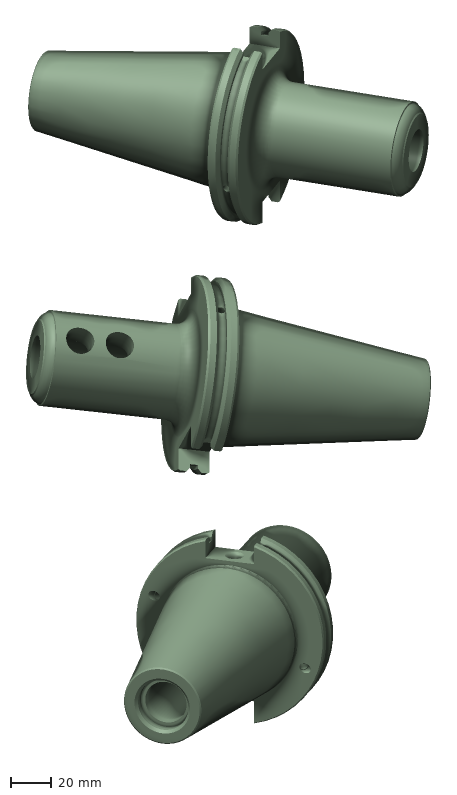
import cadquery as cq
import math

OVERALL_LENGTH = 196.9
GAUGE_LINE = 101.6
FLANGE_FRONT = 104.78
FLANGE_WIDTH = 15.88
FLANGE_REAR = FLANGE_FRONT + FLANGE_WIDTH

TAPER_RATIO = 7 / 24
GAUGE_DIAMETER = 69.85
TAPER_END_CHAMFER = 0.6

NECK_DIAMETER = 69.25
NECK_CHAMFER_LENGTH = 1.2
NECK_FILLET = 0.9

FLANGE_DIAMETER = 98.06
FLANGE_CHAMFER_LENGTH = 1.0
FLANGE_CHAMFER_DEPTH = 0.6
GROOVE_FLOOR_DIAMETER = 90.3
GROOVE_CENTRE = FLANGE_FRONT + FLANGE_WIDTH / 2
GROOVE_FLOOR_WIDTH = 4.1
GROOVE_WALL_FRONT = GROOVE_CENTRE - GROOVE_FLOOR_WIDTH / 2
GROOVE_WALL_REAR = GROOVE_CENTRE + GROOVE_FLOOR_WIDTH / 2
GROOVE_BEVEL_DEPTH = 2.0
GROOVE_BEVEL_LENGTH = 1.6

NOSE_DIAMETER = 47.75
NOSE_ROOT_FILLET = 7.6
NOSE_SHOULDER = 192.0
NOSE_SHOULDER_STEP = 0.8
NOSE_STEP_LENGTH = 0.2
NOSE_CROWN_START = (NOSE_SHOULDER + NOSE_STEP_LENGTH, NOSE_DIAMETER / 2 - NOSE_SHOULDER_STEP)
NOSE_END_CHAMFER_LENGTH = 0.5
NOSE_END_CHAMFER_DEPTH = 0.6
NOSE_END_FACE_RADIUS = 18.5
NOSE_CROWN_END = (
    OVERALL_LENGTH - NOSE_END_CHAMFER_LENGTH,
    NOSE_END_FACE_RADIUS + NOSE_END_CHAMFER_DEPTH,
)
NOSE_CROWN_RADIUS = 6.0

BORE_DIAMETER = 21.5
COUNTERBORE_DIAMETER = 26.2
COUNTERBORE_DEPTH = 5.6
COUNTERBORE_CHAMFER = 1.4

SLOT_WIDTH = 25.4
UPPER_SLOT_FLOOR = 37.7
LOWER_SLOT_FLOOR = 35.3
DIMPLE_DIAMETER = 9.53
DIMPLE_ANGLE = 118

SCREW_HOLE_DIAMETER = 14.35
SCREW_HOLE_STATIONS = (159.6, 179.8)

COOLANT_ANGLE = 20
COOLANT_ENTRY_RADIUS = 41.9
COOLANT_SLOPE = 35
COOLANT_ENTRY_DIAMETER = 5.0
COOLANT_ENTRY_DEPTH = 2.3
COOLANT_DIAMETER = 4.2


def make_body():
    """Revolve the outer profile about the X axis."""
    gauge_radius = GAUGE_DIAMETER / 2
    small_radius = gauge_radius - GAUGE_LINE * TAPER_RATIO / 2
    neck_radius = NECK_DIAMETER / 2
    flange_radius = FLANGE_DIAMETER / 2
    flange_edge_radius = flange_radius - FLANGE_CHAMFER_DEPTH
    groove_radius = GROOVE_FLOOR_DIAMETER / 2
    bevel_radius = flange_radius - GROOVE_BEVEL_DEPTH
    nose_radius = NOSE_DIAMETER / 2
    fillet_end = FLANGE_REAR + NOSE_ROOT_FILLET
    fillet_middle = NOSE_ROOT_FILLET * (1 - math.sqrt(0.5))
    profile = (
        cq.Workplane("XY")
        .moveTo(0, 0)
        .lineTo(0, small_radius - TAPER_END_CHAMFER)
        .lineTo(TAPER_END_CHAMFER, small_radius + TAPER_END_CHAMFER * TAPER_RATIO / 2)
        .lineTo(GAUGE_LINE, gauge_radius)
        .lineTo(GAUGE_LINE + NECK_CHAMFER_LENGTH, neck_radius)
        .lineTo(FLANGE_FRONT - NECK_FILLET, neck_radius)
        .radiusArc((FLANGE_FRONT, neck_radius + NECK_FILLET), -NECK_FILLET)
        .lineTo(FLANGE_FRONT, flange_edge_radius)
        .lineTo(FLANGE_FRONT + FLANGE_CHAMFER_LENGTH, flange_radius)
        .lineTo(GROOVE_WALL_FRONT - GROOVE_BEVEL_LENGTH, flange_radius)
        .lineTo(GROOVE_WALL_FRONT, bevel_radius)
        .lineTo(GROOVE_WALL_FRONT, groove_radius)
        .lineTo(GROOVE_WALL_REAR, groove_radius)
        .lineTo(GROOVE_WALL_REAR, bevel_radius)
        .lineTo(GROOVE_WALL_REAR + GROOVE_BEVEL_LENGTH, flange_radius)
        .lineTo(FLANGE_REAR - FLANGE_CHAMFER_LENGTH, flange_radius)
        .lineTo(FLANGE_REAR, flange_edge_radius)
        .lineTo(FLANGE_REAR, nose_radius + NOSE_ROOT_FILLET)
        .threePointArc(
            (FLANGE_REAR + fillet_middle, nose_radius + fillet_middle),
            (fillet_end, nose_radius),
        )
        .lineTo(NOSE_SHOULDER, nose_radius)
        .lineTo(*NOSE_CROWN_START)
        .radiusArc(NOSE_CROWN_END, NOSE_CROWN_RADIUS)
        .lineTo(OVERALL_LENGTH, NOSE_END_FACE_RADIUS)
        .lineTo(OVERALL_LENGTH, 0)
        .close()
    )
    return profile.revolve(360, (0, 0, 0), (1, 0, 0))


def make_bore():
    """Through bore with a chamfered counterbore at the small end of the taper."""
    bore_radius = BORE_DIAMETER / 2
    counterbore_radius = COUNTERBORE_DIAMETER / 2
    profile = (
        cq.Workplane("XY")
        .moveTo(0, 0)
        .lineTo(0, counterbore_radius + COUNTERBORE_CHAMFER)
        .lineTo(COUNTERBORE_CHAMFER, counterbore_radius)
        .lineTo(COUNTERBORE_DEPTH, counterbore_radius)
        .lineTo(COUNTERBORE_DEPTH, bore_radius)
        .lineTo(OVERALL_LENGTH, bore_radius)
        .lineTo(OVERALL_LENGTH, 0)
        .close()
    )
    return profile.revolve(360, (0, 0, 0), (1, 0, 0))


def make_drive_slot(floor_height, direction):
    """Box that opens the flange from floor_height outwards along +Z or -Z."""
    height = FLANGE_DIAMETER / 2 - floor_height
    return cq.Workplane("XY").box(FLANGE_WIDTH, SLOT_WIDTH, height).translate(
        (FLANGE_FRONT + FLANGE_WIDTH / 2, 0, direction * (floor_height + height / 2))
    )


def make_dimple():
    """Conical drill point in the floor of the upper slot."""
    radius = DIMPLE_DIAMETER / 2
    depth = radius / math.tan(math.radians(DIMPLE_ANGLE / 2))
    top = cq.Vector(GROOVE_CENTRE, 0, UPPER_SLOT_FLOOR)
    return cq.Solid.makeCone(radius, 0, depth, top, cq.Vector(0, 0, -1))


def make_screw_hole(station):
    """Hole from the +Y side of the nose into the bore."""
    return cq.Solid.makeCylinder(
        SCREW_HOLE_DIAMETER / 2,
        NOSE_DIAMETER / 2,
        cq.Vector(station, 0, 0),
        cq.Vector(0, 1, 0),
    )


def make_coolant_passage(angle):
    """Stepped hole leaning in from the flange face, met by a radial hole from the groove."""
    slope = math.radians(COOLANT_SLOPE)
    lean = cq.Vector(math.cos(slope), -math.sin(slope), 0)
    entry = cq.Vector(FLANGE_FRONT, COOLANT_ENTRY_RADIUS, 0)
    lead = COOLANT_ENTRY_DIAMETER
    meeting_run = GROOVE_CENTRE - FLANGE_FRONT
    meeting = cq.Vector(GROOVE_CENTRE, COOLANT_ENTRY_RADIUS - meeting_run * math.tan(slope), 0)

    mouth = cq.Solid.makeCylinder(
        COOLANT_ENTRY_DIAMETER / 2, lead + COOLANT_ENTRY_DEPTH, entry - lean * lead, lean
    )
    passage = cq.Solid.makeCylinder(
        COOLANT_DIAMETER / 2, meeting_run / math.cos(slope), entry, lean
    )
    radial = cq.Solid.makeCylinder(
        COOLANT_DIAMETER / 2, GROOVE_FLOOR_DIAMETER / 2 - meeting.y, meeting, cq.Vector(0, 1, 0)
    )
    cutter = cq.Workplane(mouth).union(cq.Workplane(passage)).union(cq.Workplane(radial))
    return cutter.rotate((0, 0, 0), (1, 0, 0), angle)


result = make_body().cut(make_bore())
result = result.cut(make_drive_slot(UPPER_SLOT_FLOOR, 1))
result = result.cut(make_drive_slot(LOWER_SLOT_FLOOR, -1))
result = result.cut(cq.Workplane(make_dimple()))
for screw_station in SCREW_HOLE_STATIONS:
    result = result.cut(cq.Workplane(make_screw_hole(screw_station)))
for half_turn in (0, 180):
    result = result.cut(make_coolant_passage(COOLANT_ANGLE + half_turn))